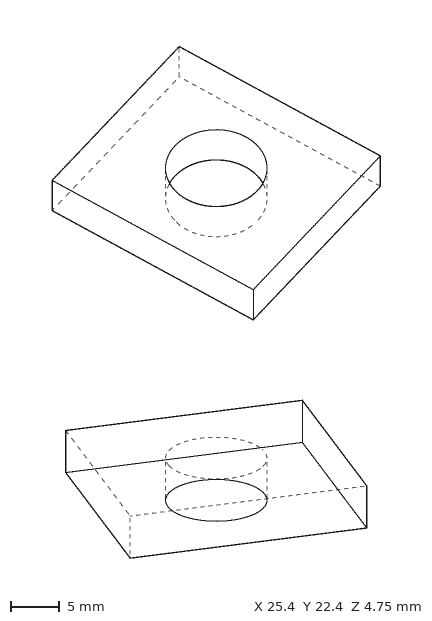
import cadquery as cq

plate_length = 25.4
plate_width = 22.35
plate_thickness = 4.75
hole_diameter = 10.41


def make_plate():
    """Flat rectangular block centred on the origin."""
    return cq.Workplane("XY").box(plate_length, plate_width, plate_thickness)


def cut_center_hole(plate):
    """Cut the round hole through the full thickness at the plate centre."""
    return plate.faces(">Z").workplane().hole(hole_diameter)


result = cut_center_hole(make_plate())